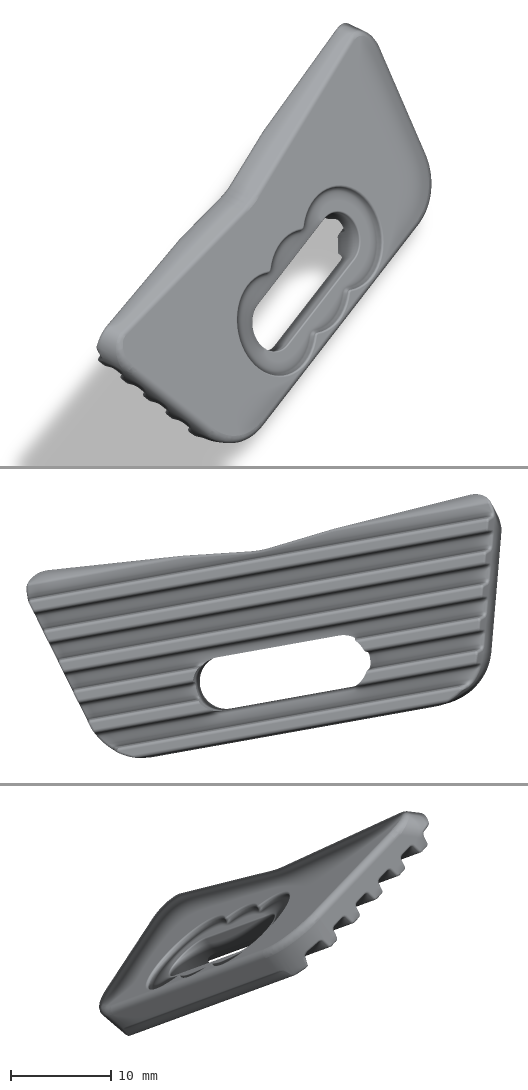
import cadquery as cq
import math

LENGTH = 48.8
TILT = 50.0
FRONT_OFFSET = 1.55
THICKNESS = 3.85
PLATE_END = 20.3
MARGIN = 4.9

TOP_CORNER_RADIUS = 2.2
SIDE_ANGLE = 20.5
VEE_ANGLE = 4.8
VEE_RADIUS = 13.2
LOWER_CORNER_RADIUS = 5.95

GROOVE_PITCH = 3.2
GROOVE_COUNT = 7
FIRST_GROOVE = 1.65
GROOVE_MOUTH = 2.0
GROOVE_FLOOR = 1.55
GROOVE_DEPTH = 1.3
TOOTH_ROUND = 0.35

SLOT_CENTRE = 14.3
LOBE_PITCH = 6.4
SLOT_RADIUS = 2.7
SLOT_EDGE_ROUND = 0.15
RECESS_RADIUS = 5.15
RECESS_DEPTH = 0.6
CUSP_ROUND = 0.5
RECESS_FLOOR_ROUND = 0.3
RECESS_RIM_ROUND = 0.2

FRONT_ROUND = 0.7
BACK_ROUND = 0.25

TIP_OFFSET = FRONT_OFFSET - THICKNESS
COS_TILT = math.cos(math.radians(TILT))
SIN_TILT = math.sin(math.radians(TILT))
DOWN_SLOPE = cq.Vector(COS_TILT, 0, -SIN_TILT)
OUTWARD = cq.Vector(SIN_TILT, 0, COS_TILT)


def on_slope(down, out):
    """XZ point at a distance down the slope and a distance out along the plate normal."""
    return (down * COS_TILT + out * SIN_TILT, -down * SIN_TILT + out * COS_TILT)


def face_plane(out):
    """Plane parallel to the front face, centred on the slot; local x runs down the slope."""
    x, z = on_slope(SLOT_CENTRE, out)
    return cq.Plane(origin=(x, 0, z), xDir=DOWN_SLOPE, normal=OUTWARD)


def toothed_bar():
    """Full-length bar: sloping plate cut flush with the plane X = 0, with its rounded teeth behind."""
    floor = TIP_OFFSET + GROOVE_DEPTH
    first_floor_start = -floor * SIN_TILT / COS_TILT
    last_centre = FIRST_GROOVE + (GROOVE_COUNT - 1) * GROOVE_PITCH

    section = [(0, MARGIN), on_slope(first_floor_start, floor)]
    for index in range(GROOVE_COUNT - 1):
        centre = FIRST_GROOVE + index * GROOVE_PITCH
        next_centre = centre + GROOVE_PITCH
        section += [
            on_slope(centre + GROOVE_FLOOR / 2, floor),
            on_slope(centre + GROOVE_MOUTH / 2, TIP_OFFSET),
            on_slope(next_centre - GROOVE_MOUTH / 2, TIP_OFFSET),
            on_slope(next_centre - GROOVE_FLOOR / 2, floor),
        ]
    section += [
        on_slope(last_centre + MARGIN, floor),
        on_slope(last_centre + MARGIN, FRONT_OFFSET),
        on_slope((FRONT_OFFSET * COS_TILT - MARGIN) / SIN_TILT, FRONT_OFFSET),
    ]
    return (
        cq.Workplane("XZ")
        .polyline(section)
        .close()
        .extrude(LENGTH / 2 + MARGIN, both=True)
        .edges("|Y")
        .fillet(TOOTH_ROUND)
    )


def beyond_lower_end():
    """Waste block past the lower end of the plate."""
    x, z = on_slope(PLATE_END, 0)
    plane = cq.Plane(origin=(x, 0, z), xDir=(0, 1, 0), normal=DOWN_SLOPE)
    return cq.Workplane(plane).rect(2 * LENGTH, 4 * THICKNESS).extrude(2 * MARGIN)


def outline_block():
    """Block along X with the winged outline: shallow vee on top and inward-leaning sides."""
    lean = math.radians(SIDE_ANGLE)
    fall = math.radians(VEE_ANGLE)
    r = TOP_CORNER_RADIUS
    centre_y = LENGTH / 2 - r
    centre_z = -r
    diagonal = r * math.sqrt(0.5)
    side_start = (centre_y + r * math.cos(lean), centre_z - r * math.sin(lean))
    vee_start = (centre_y - r * math.sin(fall), centre_z + r * math.cos(fall))
    bottom_z = on_slope(PLATE_END, TIP_OFFSET)[1] - MARGIN
    side_end = (side_start[0] - (side_start[1] - bottom_z) * math.tan(lean), bottom_z)
    vee_half = VEE_RADIUS * math.sin(fall)
    vee_edge_z = vee_start[1] - (vee_start[0] - vee_half) * math.tan(fall)
    vee_bottom_z = vee_edge_z - VEE_RADIUS * (1 - math.cos(fall))
    corner_middle = (centre_y + diagonal, centre_z + diagonal)

    def mirrored(point):
        """The same point on the -Y side."""
        return (-point[0], point[1])

    return (
        cq.Workplane("YZ", origin=(-MARGIN, 0, 0))
        .moveTo(*side_end)
        .lineTo(*side_start)
        .threePointArc(corner_middle, vee_start)
        .lineTo(vee_half, vee_edge_z)
        .threePointArc((0, vee_bottom_z), (-vee_half, vee_edge_z))
        .lineTo(*mirrored(vee_start))
        .threePointArc(mirrored(corner_middle), mirrored(side_start))
        .lineTo(*mirrored(side_end))
        .close()
        .extrude(PLATE_END + 2 * MARGIN)
    )


def recess():
    """Three-lobed pocket in the front face: smooth cusps between lobes and a rounded floor edge."""
    reach = RECESS_RADIUS + CUSP_ROUND
    cusp_x = math.sqrt(reach ** 2 - (LOBE_PITCH / 2) ** 2)
    touch_x = cusp_x * RECESS_RADIUS / reach
    touch_y = LOBE_PITCH / 2 * RECESS_RADIUS / reach
    outer_touch_y = LOBE_PITCH - touch_y
    cusp_middle = (cusp_x - CUSP_ROUND, LOBE_PITCH / 2)

    def flip(point, x_sign, y_sign):
        """Matching point in the quadrant with the given signs."""
        return (point[0] * x_sign, point[1] * y_sign)

    inner_touch = (touch_x, touch_y)
    outer_touch = (touch_x, outer_touch_y)
    lobe_side = (RECESS_RADIUS, 0)
    lobe_end = (0, LOBE_PITCH + RECESS_RADIUS)
    pocket = (
        cq.Workplane(face_plane(FRONT_OFFSET - RECESS_DEPTH))
        .moveTo(*flip(inner_touch, 1, -1))
        .threePointArc(lobe_side, inner_touch)
        .threePointArc(cusp_middle, outer_touch)
        .threePointArc(lobe_end, flip(outer_touch, -1, 1))
        .threePointArc(flip(cusp_middle, -1, 1), flip(inner_touch, -1, 1))
        .threePointArc(flip(lobe_side, -1, 1), flip(inner_touch, -1, -1))
        .threePointArc(flip(cusp_middle, -1, -1), flip(outer_touch, -1, -1))
        .threePointArc(flip(lobe_end, 1, -1), flip(outer_touch, 1, -1))
        .threePointArc(flip(cusp_middle, 1, -1), flip(inner_touch, 1, -1))
        .close()
        .extrude(RECESS_DEPTH)
    )
    pocket_floor = pocket.faces(cq.selectors.DirectionMinMaxSelector(OUTWARD, False))
    return pocket_floor.edges().fillet(RECESS_FLOOR_ROUND)


def slot():
    """Round-ended slot right through the plate."""
    return (
        cq.Workplane(face_plane(TIP_OFFSET - MARGIN))
        .slot2D(2 * LOBE_PITCH + 2 * SLOT_RADIUS, 2 * SLOT_RADIUS, 90)
        .extrude(THICKNESS + MARGIN)
    )


def round_rim(plate, half_width, out, radius):
    """Round the whole rim of an opening, found from its upper edge at the middle of the length."""
    x, z = on_slope(SLOT_CENTRE - half_width, out)
    return plate.edges(cq.selectors.NearestToPointSelector((x, 0, z))).fillet(radius)


def front_face(plate):
    """Front face, the outermost along the plate normal."""
    return plate.faces(cq.selectors.DirectionMinMaxSelector(OUTWARD))


plate = toothed_bar().intersect(outline_block()).cut(beyond_lower_end())

lower_end = plate.faces(cq.selectors.DirectionMinMaxSelector(DOWN_SLOPE))
plate = lower_end.edges("not |Y").fillet(LOWER_CORNER_RADIUS)

plate = front_face(plate).edges().fillet(FRONT_ROUND)

seed_point = (0, LENGTH / 4, 0)
plate = plate.edges(cq.selectors.NearestToPointSelector(seed_point)).fillet(BACK_ROUND)

plate = plate.cut(recess())
plate = round_rim(plate, RECESS_RADIUS, FRONT_OFFSET, RECESS_RIM_ROUND)
plate = plate.cut(slot())
plate = round_rim(plate, SLOT_RADIUS, FRONT_OFFSET - RECESS_DEPTH, SLOT_EDGE_ROUND)

result = plate